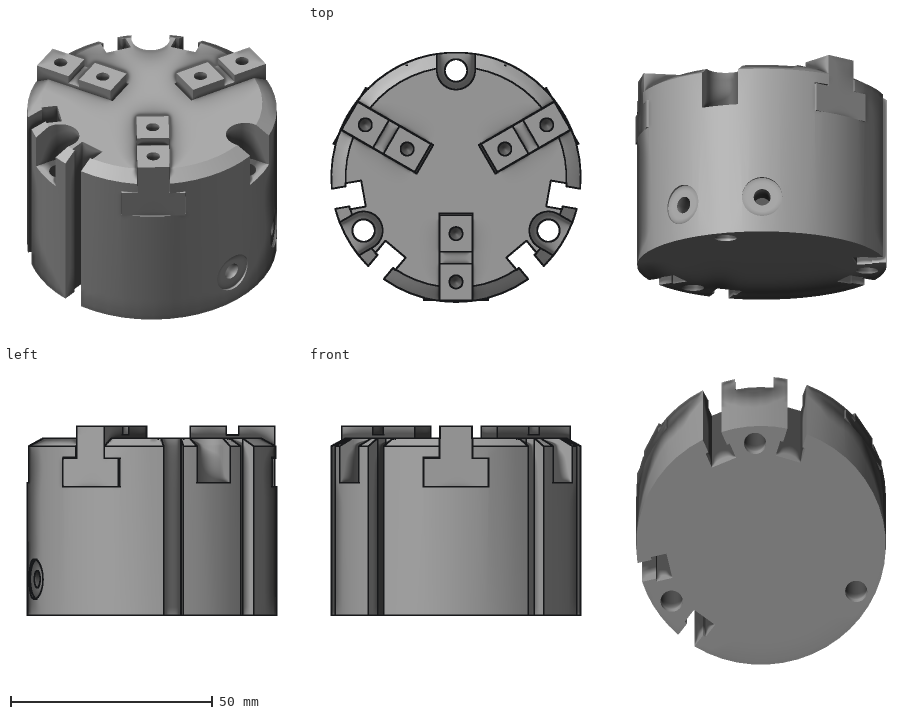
import math

import cadquery as cq

body_radius = 31.0
body_height = 44.0
rim_chamfer_height = 2.0
rim_chamfer_width = 3.6

jaw_angles = (30, 150, 270)
jaw_top = 47.0
jaw_inner_radius = 9.5
jaw_outer_radius = 30.5
jaw_stem_width = 8.0
jaw_foot_width = 16.0
jaw_foot_height = 7.0
guide_floor = 32.0
guide_inner_radius = 8.9
guide_side_clearance = 0.1
guide_top_clearance = 0.3
jaw_groove_radius = 20.0
jaw_groove_width = 3.0
jaw_groove_depth = 2.2
jaw_hole_radii = (14.0, 26.0)
jaw_hole_diameter = 3.3
jaw_hole_depth = 8.0
drill_point_angle = 118.0

mount_angles = (90, 210, 330)
mount_radius = 26.5
mount_hole_diameter = 5.5
mount_pocket_width = 9.5
mount_pocket_floor = 33.0

sensor_mount_angles = (210, 330)
sensor_slot_offset = 20
sensor_slot_floor_radius = 23.35
sensor_slot_lip_radius = 27.3
sensor_slot_width = 6.5
sensor_slot_mouth_width = 5.0

port_angles = (70, 110)
port_height = 9.0
port_seat_diameter = 10.0
port_seat_radius = 30.3
port_hole_diameter = 4.2
port_hole_depth = 8.0

runout_radius = body_radius + 2.0


def radial_box(inner, outer, width, bottom, top):
    """Box along +X from radius inner to radius outer, centred on the XZ plane."""
    box = cq.Workplane("XY").box(outer - inner, width, top - bottom, centered=(False, True, False))
    return box.translate((inner, 0, bottom))


def turned(shape, angle):
    """Shape turned about the body axis from +X to the given angle in degrees."""
    return shape.rotate((0, 0, 0), (0, 0, 1), angle)


def make_body():
    profile = [
        (0, 0),
        (body_radius, 0),
        (body_radius, body_height - rim_chamfer_height),
        (body_radius - rim_chamfer_width, body_height),
        (0, body_height),
    ]
    return cq.Workplane("YZ").polyline(profile).close().revolve(360, (0, 0, 0), (0, 1, 0))


def make_jaw_guide():
    foot_width = jaw_foot_width + 2 * guide_side_clearance
    stem_width = jaw_stem_width + 2 * guide_side_clearance
    foot_top = guide_floor + jaw_foot_height
    foot = radial_box(guide_inner_radius, runout_radius, foot_width, guide_floor, foot_top)
    stem = radial_box(guide_inner_radius, runout_radius, stem_width, guide_floor, jaw_top)

    gap_width = foot_width / 2
    gap = radial_box(guide_inner_radius, runout_radius, gap_width, foot_top, foot_top + guide_top_clearance)
    gap = gap.translate((0, -gap_width / 2, 0))
    return foot.union(stem).union(gap)


def make_jaw_hole(radius):
    hole_radius = jaw_hole_diameter / 2
    point_depth = hole_radius / math.tan(math.radians(drill_point_angle / 2))
    wall_end = jaw_top - jaw_hole_depth
    profile = [
        (0, jaw_top),
        (hole_radius, jaw_top),
        (hole_radius, wall_end),
        (0, wall_end - point_depth),
    ]
    hole = cq.Workplane("XZ").polyline(profile).close().revolve(360, (0, 0, 0), (0, 1, 0))
    return hole.translate((radius, 0, 0))


def make_jaw():
    foot_top = guide_floor + jaw_foot_height
    foot = radial_box(jaw_inner_radius, jaw_outer_radius, jaw_foot_width, guide_floor, foot_top)
    stem = radial_box(jaw_inner_radius, jaw_outer_radius, jaw_stem_width, guide_floor, jaw_top)
    groove = radial_box(
        jaw_groove_radius - jaw_groove_width / 2,
        jaw_groove_radius + jaw_groove_width / 2,
        jaw_stem_width,
        jaw_top - jaw_groove_depth,
        jaw_top,
    )
    jaw = foot.union(stem).cut(groove)
    for radius in jaw_hole_radii:
        jaw = jaw.cut(make_jaw_hole(radius))
    return jaw


def make_mount_cut():
    hole = cq.Workplane("XY").center(mount_radius, 0).circle(mount_hole_diameter / 2).extrude(body_height)

    half_width = mount_pocket_width / 2
    pocket = (
        cq.Workplane("XY", origin=(0, 0, mount_pocket_floor))
        .moveTo(runout_radius, half_width)
        .lineTo(mount_radius, half_width)
        .threePointArc((mount_radius - half_width, 0), (mount_radius, -half_width))
        .lineTo(runout_radius, -half_width)
        .close()
        .extrude(body_height - mount_pocket_floor)
    )
    return hole.union(pocket)


def make_sensor_slot():
    mouth = radial_box(sensor_slot_floor_radius, runout_radius, sensor_slot_mouth_width, 0, body_height)
    channel = radial_box(
        sensor_slot_floor_radius, sensor_slot_lip_radius, sensor_slot_width, 0, body_height
    )
    return channel.union(mouth)


def make_port():
    hole_start = port_seat_radius - port_hole_depth
    hole = cq.Workplane("YZ", origin=(hole_start, 0, port_height))
    hole = hole.circle(port_hole_diameter / 2).extrude(port_hole_depth)
    seat = cq.Workplane("YZ", origin=(port_seat_radius, 0, port_height))
    seat = seat.circle(port_seat_diameter / 2).extrude(runout_radius - port_seat_radius)
    return hole.union(seat)


result = make_body()

for angle in mount_angles:
    result = result.cut(turned(make_mount_cut(), angle))

for mount_angle in sensor_mount_angles:
    for side in (-1, 1):
        result = result.cut(turned(make_sensor_slot(), mount_angle + side * sensor_slot_offset))

for angle in port_angles:
    result = result.cut(turned(make_port(), angle))

for angle in jaw_angles:
    result = result.cut(turned(make_jaw_guide(), angle))

for angle in jaw_angles:
    result = result.union(turned(make_jaw(), angle))